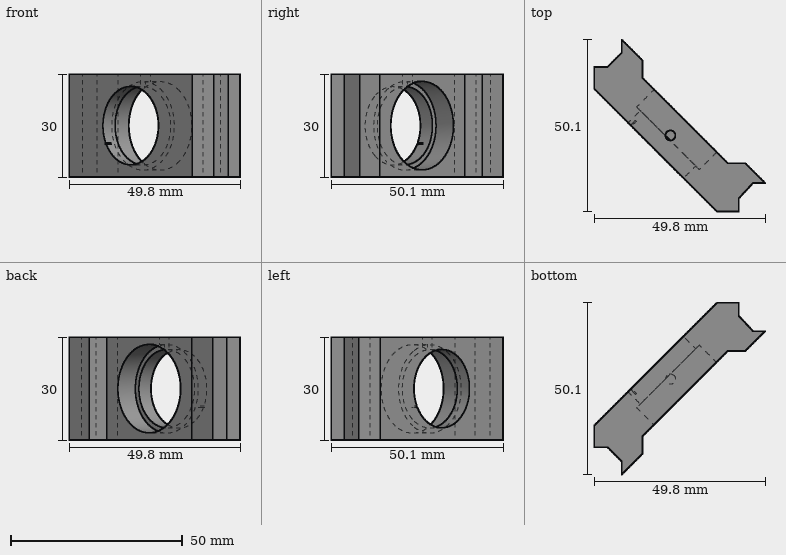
import cadquery as cq
import math

HEIGHT = 30.0
LENGTH_X = 49.8
LENGTH_Y = 50.1
FRONT_CORNER = 35.75
END_CORNER = 42.15
NOTCH_START = 3.85
NOTCH_OFFSET = 8.0
SHOULDER = 14.15
BACK_CORNER = 38.85

BORE_DIAMETER = 22.85
COUNTERBORE_DIAMETER = 25.8
BORE_DEPTH = 5.0

TOP_HOLE_DIAMETER = 2.9

KEYWAY_WIDTH = 0.55
KEYWAY_LENGTH = 2.0
KEYWAY_DEPTH = 0.25
KEYWAY_DROP = 5.2

thickness = (SHOULDER + BACK_CORNER - FRONT_CORNER) / math.sqrt(2)
tip_line = LENGTH_Y + NOTCH_OFFSET
notch_rise = END_CORNER + NOTCH_OFFSET - NOTCH_START

front_plane = cq.Plane(
    origin=(FRONT_CORNER / 2, FRONT_CORNER / 2, HEIGHT / 2),
    xDir=(-1, 1, 0),
    normal=(1, 1, 0),
)


def make_body():
    outline = [
        (0, FRONT_CORNER),
        (0, END_CORNER),
        (NOTCH_START, END_CORNER),
        (NOTCH_OFFSET, notch_rise),
        (NOTCH_OFFSET, LENGTH_Y),
        (SHOULDER, tip_line - SHOULDER),
        (SHOULDER, BACK_CORNER),
        (BACK_CORNER, SHOULDER),
        (tip_line - SHOULDER, SHOULDER),
        (LENGTH_X, tip_line - LENGTH_X),
        (notch_rise, tip_line - LENGTH_X),
        (END_CORNER, NOTCH_START),
        (END_CORNER, 0),
        (FRONT_CORNER, 0),
    ]
    return cq.Workplane("XY").polyline(outline).close().extrude(HEIGHT)


def make_bore():
    narrow = cq.Workplane(front_plane).circle(BORE_DIAMETER / 2).extrude(thickness)
    wide = (
        cq.Workplane(front_plane)
        .workplane(offset=BORE_DEPTH)
        .circle(COUNTERBORE_DIAMETER / 2)
        .extrude(thickness - BORE_DEPTH)
    )
    return narrow.union(wide)


def make_top_hole():
    center = (SHOULDER + BACK_CORNER + FRONT_CORNER) / 4
    return (
        cq.Workplane("XY", origin=(center, center, HEIGHT / 2))
        .circle(TOP_HOLE_DIAMETER / 2)
        .extrude(HEIGHT / 2)
    )


def make_keyway():
    wall_offset = math.sqrt((BORE_DIAMETER / 2) ** 2 - KEYWAY_DROP**2)
    reach = wall_offset + KEYWAY_DEPTH
    return (
        cq.Workplane(front_plane)
        .center(reach / 2, -KEYWAY_DROP)
        .rect(reach, KEYWAY_WIDTH)
        .extrude(KEYWAY_LENGTH)
    )


result = make_body().cut(make_bore()).cut(make_top_hole()).cut(make_keyway())